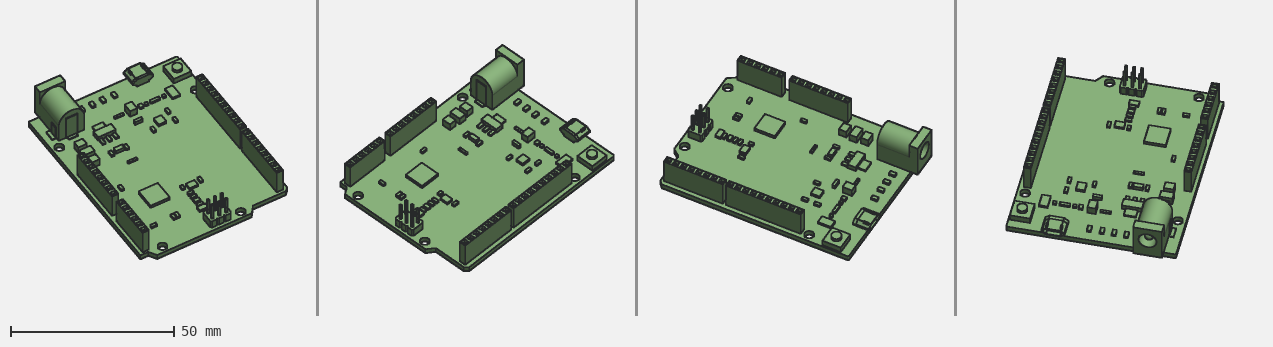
import cadquery as cq

TOTAL_LENGTH = 70.9
TOTAL_HEIGHT = 13.3
BOARD_WIDTH = 53.3
BOARD_THICKNESS = 1.8
JACK_OVERHANG = 2.4
BOARD_LENGTH = TOTAL_LENGTH - JACK_OVERHANG

EMBED = 0.15


def block(x_min, x_max, y_min, y_max, z_min, z_max):
    """Box given by its limits along each axis."""
    box = cq.Workplane("XY").box(x_max - x_min, y_max - y_min, z_max - z_min, centered=False)
    return box.translate((x_min, y_min, z_min))


def board_block(x_min, x_max, y_min, y_max, height):
    """Box of the given height standing on the board."""
    return block(x_min, x_max, y_min, y_max, BOARD_THICKNESS - EMBED, BOARD_THICKNESS + height)


SHOULDER_X = 65.95
UPPER_STEP_Y = (38.35, 40.35)
LOWER_STEP_Y = (2.85, 4.5)
TOP_CORNER_CUT = 1.2
LEFT_CORNER_RADIUS = 0.5
MOUNTING_HOLE_DIAMETER = 3.05
MOUNTING_HOLES = [(14.05, 2.55), (15.0, 50.75), (66.15, 7.8), (66.15, 35.9)]


def make_board():
    outline = [
        (0, 0),
        (SHOULDER_X, 0),
        (SHOULDER_X, LOWER_STEP_Y[0]),
        (BOARD_LENGTH, LOWER_STEP_Y[1]),
        (BOARD_LENGTH, UPPER_STEP_Y[0]),
        (SHOULDER_X, UPPER_STEP_Y[1]),
        (SHOULDER_X, BOARD_WIDTH - TOP_CORNER_CUT),
        (SHOULDER_X - TOP_CORNER_CUT, BOARD_WIDTH),
        (0, BOARD_WIDTH),
    ]
    board = cq.Workplane("XY").polyline(outline).close().extrude(BOARD_THICKNESS)
    board = board.edges("|Z and <X").fillet(LEFT_CORNER_RADIUS)
    holes = cq.Workplane("XY").pushPoints(MOUNTING_HOLES)
    return board.cut(holes.circle(MOUNTING_HOLE_DIAMETER / 2).extrude(BOARD_THICKNESS))


HEADER_WIDTH = 2.3
HEADER_HEIGHT = 8.6
SOCKET_PITCH = 2.64
SOCKET_MOUTH = 1.55
SOCKET_DEPTH = 0.9
SOCKET_TAPER = 18
SOCKET_OFFSET = 0.15
UPPER_HEADER_Y = 50.6
LOWER_HEADER_Y = 2.4
UPPER_HEADERS = [(17.45, 43.4, 18.65, 10), (44.45, 64.95, 45.45, 8)]
LOWER_HEADERS = [(26.8, 47.2, 27.8, 8), (49.8, 65.15, 50.75, 6)]


def make_header(x_min, x_max, centre_y, first_socket_x, count, offset):
    half = HEADER_WIDTH / 2
    header = board_block(x_min, x_max, centre_y - half, centre_y + half, HEADER_HEIGHT)
    top = BOARD_THICKNESS + HEADER_HEIGHT
    places = [(first_socket_x + i * SOCKET_PITCH, centre_y + offset) for i in range(count)]
    sockets = cq.Workplane("XY", origin=(0, 0, top)).pushPoints(places)
    return header.cut(sockets.rect(SOCKET_MOUTH, SOCKET_MOUTH).extrude(-SOCKET_DEPTH, taper=SOCKET_TAPER))


def make_headers():
    headers = []
    for x_min, x_max, first, count in UPPER_HEADERS:
        headers.append(make_header(x_min, x_max, UPPER_HEADER_Y, first, count, -SOCKET_OFFSET))
    for x_min, x_max, first, count in LOWER_HEADERS:
        headers.append(make_header(x_min, x_max, LOWER_HEADER_Y, first, count, SOCKET_OFFSET))
    return headers


PIN_HEADER_CENTRE = (64.9, 28.15)
PIN_PITCH = 2.5
PIN_COLUMNS = 2
PIN_ROWS = 3
PIN_SIZE = 0.65
PIN_TOP = 8.6
PIN_HOUSING_HEIGHT = 2.8
PIN_HOUSING_CHAMFER = 0.4


def make_pin_header():
    base = cq.Workplane("XY", origin=(*PIN_HEADER_CENTRE, BOARD_THICKNESS - EMBED))
    length = PIN_COLUMNS * PIN_PITCH
    housing = None
    for place in range(PIN_ROWS):
        row_y = (place - (PIN_ROWS - 1) / 2) * PIN_PITCH
        row = base.center(0, row_y).rect(length, PIN_PITCH).extrude(PIN_HOUSING_HEIGHT + EMBED)
        row = row.edges("|Z").chamfer(PIN_HOUSING_CHAMFER)
        housing = row if housing is None else housing.union(row)
    pins = base.rarray(PIN_PITCH, PIN_PITCH, PIN_COLUMNS, PIN_ROWS).rect(PIN_SIZE, PIN_SIZE)
    return housing.union(pins.extrude(PIN_TOP + EMBED))


JACK_WIDTH = 9.1
JACK_CENTRE_Y = 8.4
JACK_FLANGE_END_X = 0.6
JACK_END_X = 11.7
JACK_AXIS_Z = 8.4
JACK_BORE_DIAMETER = 5.7
JACK_BORE_DEPTH = 9.9
JACK_PIN_DIAMETER = 2.8
JACK_PIN_LENGTH = 8.9

TERMINAL_THICKNESS = 0.3
REAR_TERMINAL_WIDTH = 4.1
REAR_TERMINAL_HEIGHT = 8.65
REAR_FOOT_WIDTH = 3.25
REAR_FOOT_END_X = 13.0
FOOT_THICKNESS = 0.35
SIDE_TERMINAL_X = (7.6, 10.15)
SIDE_TERMINAL_HEIGHT = 4.55
SIDE_FOOT_X = (6.8, 10.4)
SIDE_FOOT_Y = 2.3


def make_jack():
    half = JACK_WIDTH / 2
    y_min = JACK_CENTRE_Y - half
    y_max = JACK_CENTRE_Y + half
    flange = block(-JACK_OVERHANG, JACK_FLANGE_END_X, y_min, y_max, BOARD_THICKNESS, TOTAL_HEIGHT)

    mouth = cq.Workplane("YZ", origin=(-JACK_OVERHANG, JACK_CENTRE_Y, JACK_AXIS_Z))
    floor_z = BOARD_THICKNESS - EMBED
    arch = cq.Workplane("YZ").moveTo(y_min, floor_z).lineTo(y_max, floor_z).lineTo(y_max, JACK_AXIS_Z)
    arch = arch.threePointArc((JACK_CENTRE_Y, JACK_AXIS_Z + half), (y_min, JACK_AXIS_Z)).close()
    body = arch.extrude(JACK_END_X)
    bore = mouth.circle(JACK_BORE_DIAMETER / 2).extrude(JACK_BORE_DEPTH)

    nose_radius = JACK_PIN_DIAMETER / 2
    pin_root = mouth.workplane(offset=JACK_BORE_DEPTH + EMBED)
    pin = pin_root.circle(nose_radius).extrude(-(JACK_PIN_LENGTH - nose_radius + EMBED))
    nose_x = -JACK_OVERHANG + JACK_BORE_DEPTH - JACK_PIN_LENGTH + nose_radius
    nose = cq.Workplane("XY").sphere(nose_radius).translate((nose_x, JACK_CENTRE_Y, JACK_AXIS_Z))

    rear_half = REAR_TERMINAL_WIDTH / 2
    rear_end = JACK_END_X + TERMINAL_THICKNESS
    rear_terminal = board_block(
        JACK_END_X - EMBED,
        rear_end,
        JACK_CENTRE_Y - rear_half,
        JACK_CENTRE_Y + rear_half,
        REAR_TERMINAL_HEIGHT,
    )
    foot_half = REAR_FOOT_WIDTH / 2
    rear_foot = board_block(
        JACK_END_X,
        REAR_FOOT_END_X,
        JACK_CENTRE_Y - foot_half,
        JACK_CENTRE_Y + foot_half,
        FOOT_THICKNESS,
    )
    side_terminal = board_block(
        *SIDE_TERMINAL_X, y_min - TERMINAL_THICKNESS, y_min + EMBED, SIDE_TERMINAL_HEIGHT
    )
    side_foot = board_block(*SIDE_FOOT_X, SIDE_FOOT_Y, y_min + EMBED, FOOT_THICKNESS)

    jack = body.union(flange).cut(bore).union(pin).union(nose)
    return jack.union(rear_terminal).union(rear_foot).union(side_terminal).union(side_foot)


USB_FRONT_X = -1.0
USB_LENGTH = 5.6
USB_CENTRE = (38.35, 3.55)
USB_WIDTH = 7.4
USB_FLAT_WIDTH = 4.55
USB_HEIGHT = 2.6
USB_SIDE_HEIGHT = 0.5
USB_WALL = 0.3
USB_CAVITY_DEPTH = 4.6
USB_TONGUE_WIDTH = 4.05
USB_TONGUE_THICKNESS = 0.5
USB_TONGUE_Z = 3.8
USB_TONGUE_SETBACK = 0.7
USB_BASE_WIDTH = 4.25
USB_BASE_START_X = 0.7
USB_SLOT_X = (-0.15, 1.5)
USB_SLOT_WIDTH = 0.5


def usb_section(front):
    """Flattened octagon of the socket's shell, on a plane across the X axis."""
    half = USB_WIDTH / 2
    flat = USB_FLAT_WIDTH / 2
    height = USB_HEIGHT / 2
    side = USB_SIDE_HEIGHT / 2
    upper = [(half, side), (flat, height), (-flat, height), (-half, side)]
    lower = [(-y, -z) for y, z in upper]
    return front.polyline(upper + lower).close()


def make_usb():
    centre_y, centre_z = USB_CENTRE
    front = cq.Workplane("YZ", origin=(USB_FRONT_X, centre_y, centre_z))
    shell = usb_section(front).extrude(USB_LENGTH)
    cavity = usb_section(front).offset2D(-USB_WALL, "intersection").extrude(USB_CAVITY_DEPTH)
    usb = shell.cut(cavity)

    for side in (-1, 1):
        fold_y = centre_y + side * USB_FLAT_WIDTH / 2
        slot_half = USB_SLOT_WIDTH / 2
        slot_top = centre_z + USB_HEIGHT / 2
        usb = usb.cut(block(*USB_SLOT_X, fold_y - slot_half, fold_y + slot_half, centre_z, slot_top))

    half_tongue = USB_TONGUE_WIDTH / 2
    tongue = block(
        USB_FRONT_X + USB_TONGUE_SETBACK,
        USB_FRONT_X + USB_CAVITY_DEPTH + EMBED,
        centre_y - half_tongue,
        centre_y + half_tongue,
        USB_TONGUE_Z - USB_TONGUE_THICKNESS / 2,
        USB_TONGUE_Z + USB_TONGUE_THICKNESS / 2,
    )
    half_base = USB_BASE_WIDTH / 2
    base_height = centre_z - USB_HEIGHT / 2 + USB_WALL / 2 - BOARD_THICKNESS
    base = board_block(
        USB_BASE_START_X, USB_FRONT_X + USB_LENGTH, centre_y - half_base, centre_y + half_base, base_height
    )
    return usb.union(tongue).union(base)


BUTTON_CENTRE = (6.2, 49.6)
BUTTON_SIZE = 6.3
BUTTON_HEIGHT = 2.0
BUTTON_CAP_DIAMETER = 3.2
BUTTON_CAP_TOP = 3.0


def make_button():
    base = cq.Workplane("XY", origin=(*BUTTON_CENTRE, BOARD_THICKNESS - EMBED))
    body = base.rect(BUTTON_SIZE, BUTTON_SIZE).extrude(BUTTON_HEIGHT + EMBED)
    return body.union(base.circle(BUTTON_CAP_DIAMETER / 2).extrude(BUTTON_CAP_TOP + EMBED))


REGULATOR_CENTRE = (16.5, 17.3)
REGULATOR_LENGTH = 2.85
REGULATOR_WIDTH = 6.3
REGULATOR_HEIGHT = 1.55
REGULATOR_LEAD_THICKNESS = 0.5
REGULATOR_TAB_LENGTH = 2.8
REGULATOR_TAB_WIDTH = 3.8
REGULATOR_LEG_LENGTH = 2.3
REGULATOR_LEG_WIDTH = 1.1
REGULATOR_LEG_PITCH = 2.35


def make_regulator():
    x, y = REGULATOR_CENTRE
    left = x - REGULATOR_LENGTH / 2
    right = x + REGULATOR_LENGTH / 2
    half = REGULATOR_WIDTH / 2
    half_tab = REGULATOR_TAB_WIDTH / 2
    half_leg = REGULATOR_LEG_WIDTH / 2
    regulator = board_block(left, right, y - half, y + half, REGULATOR_HEIGHT)
    tab = board_block(
        left - REGULATOR_TAB_LENGTH, x, y - half_tab, y + half_tab, REGULATOR_LEAD_THICKNESS
    )
    regulator = regulator.union(tab)
    for step in (-1, 0, 1):
        leg_y = y + step * REGULATOR_LEG_PITCH
        leg_end = right + REGULATOR_LEG_LENGTH
        leg = board_block(x, leg_end, leg_y - half_leg, leg_y + half_leg, REGULATOR_LEAD_THICKNESS)
        regulator = regulator.union(leg)
    return regulator


LED_X = 4.3
CAPACITOR_Y = 7.8
FILTER_X = 12.6
RESISTOR_ROW_Y = 26.65

RECTANGULAR_PARTS = [
    (2.05, 1.3, 0.7, [(LED_X, 16.5), (LED_X, 20.35), (LED_X, 24.1), (LED_X, 28.15)]),
    (2.0, 1.0, 0.7, [(18.65, 38.65), (23.0, 38.65), (23.0, 30.8), (24.95, 19.9), (24.95, 14.6)]),
    (2.0, 1.0, 0.7, [(48.5, 32.05), (57.6, 18.3), (57.6, 16.95), (38.85, 9.6)]),
    (1.0, 2.0, 0.7, [(51.75, RESISTOR_ROW_Y), (53.5, RESISTOR_ROW_Y), (57.3, RESISTOR_ROW_Y), (57.6, 9.85)]),
    (1.3, 2.0, 0.7, [(55.4, RESISTOR_ROW_Y)]),
    (1.0, 1.0, 0.7, [(FILTER_X, 40.9), (FILTER_X, 34.6)]),
    (1.0, 3.25, 0.7, [(FILTER_X, 37.7)]),
    (1.5, 1.3, 0.7, [(FILTER_X, 32.7)]),
    (3.25, 2.55, 2.5, [(12.75, 29.0)]),
    (0.8, 3.25, 0.5, [(12.5, 24.9), (30.7, 18.6)]),
    (1.0, 2.8, 1.2, [(17.65, 28.65)]),
    (1.5, 3.05, 1.2, [(24.75, 17.45)]),
    (4.55, 2.8, 0.7, [(12.6, 44.0)]),
    (3.05, 2.8, 0.85, [(20.9, 34.45)]),
    (2.3, 3.05, 0.7, [(49.05, 28.8)]),
    (1.5, 1.0, 0.7, [(48.5, 25.75)]),
    (1.8, 3.05, 0.7, [(58.9, 26.5)]),
    (7.1, 6.9, 1.0, [(46.95, 16.5)]),
    (2.55, 3.05, 2.5, [(17.95, CAPACITOR_Y), (25.5, CAPACITOR_Y)]),
    (2.55, 4.05, 2.5, [(21.7, CAPACITOR_Y)]),
]


def make_rectangular_parts():
    parts = []
    for length, width, height, centres in RECTANGULAR_PARTS:
        for x, y in centres:
            parts.append(
                board_block(x - length / 2, x + length / 2, y - width / 2, y + width / 2, height)
            )
    return parts


result = make_board()
fittings = [make_pin_header(), make_jack(), make_usb(), make_button(), make_regulator()]
for fitting in fittings + make_headers() + make_rectangular_parts():
    result = result.union(fitting)